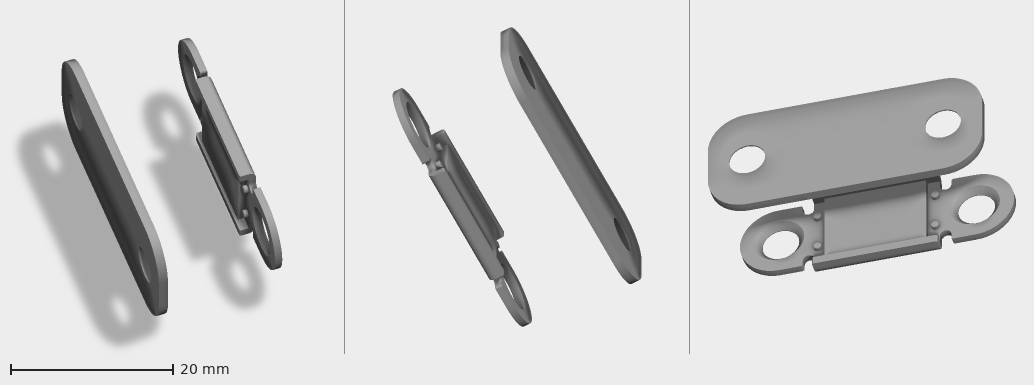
import cadquery as cq

LENGTH = 35.0
TOTAL_DEPTH = 16.2
CORNER_RADIUS = 5.0
HOLE_SPACING = LENGTH - 2 * CORNER_RADIUS

PLATE_HEIGHT = 15.0
PLATE_THICKNESS = 1.2
PLATE_HOLE_DIAMETER = 4.6
PLATE_HOLE_LAND = 0.2

SHEET_THICKNESS = 0.95
SHEET_FRONT = TOTAL_DEPTH - SHEET_THICKNESS
EAR_HEIGHT = 2 * CORNER_RADIUS
EAR_HOLE_DIAMETER = 4.7
EAR_HOLE_LAND = 0.1

FLANGE_LENGTH = 16.03
FLANGE_SPAN = 12.15
FLANGE_THICKNESS = 1.1
FLANGE_DEPTH = 2.15
BEND_RADIUS = 1.0
FLANGE_CORNER_RADIUS = 0.25

NOTCH_WIDTH = 1.47
NOTCH_DEPTH = 1.58
NOTCH_EDGE_RADIUS = 0.28

PAD_LENGTH = 13.0
PAD_HEIGHT = 9.5
PAD_THICKNESS = 0.88
STUD_DIAMETER = 1.0
STUD_HEIGHT = 0.55
STUD_EDGE_RADIUS = 0.1
STUD_SPACING_X = 15.0
STUD_SPACING_Z = 5.0


def block(length, height, front, depth):
    """Block centred on X and Z that runs from Y = front toward +Y."""
    return cq.Workplane("XY").box(length, depth, height).translate((0, front + depth / 2, 0))


def facing_front(y):
    """Workplane at the given Y, with local axes X and Z and a normal toward -Y."""
    return cq.Workplane("XZ", origin=(0, y, 0))


def make_countersunk_hole(side, narrow_y, direction, thickness, diameter, land_depth):
    """Cutter for a hole that has a short straight land at Y = narrow_y and then opens at 45 degrees."""
    radius = diameter / 2
    axis = cq.Vector(0, direction, 0)
    start = cq.Vector(side * HOLE_SPACING / 2, narrow_y, 0)
    cone_depth = thickness - land_depth
    land = cq.Solid.makeCylinder(radius, land_depth, start, axis)
    cone = cq.Solid.makeCone(radius, radius + cone_depth, cone_depth, start + axis * land_depth, axis)
    return cq.Workplane(land).union(cq.Workplane(cone))


def make_cover_plate():
    plate = block(LENGTH, PLATE_HEIGHT, 0, PLATE_THICKNESS).edges("|Y").fillet(CORNER_RADIUS)
    for side in (-1, 1):
        hole = make_countersunk_hole(
            side, 0, 1, PLATE_THICKNESS, PLATE_HOLE_DIAMETER, PLATE_HOLE_LAND
        )
        plate = plate.cut(hole)
    return plate


def make_sheet():
    """Flat sheet with round ends and a countersunk hole in each ear."""
    sheet = facing_front(TOTAL_DEPTH).slot2D(LENGTH, EAR_HEIGHT).extrude(SHEET_THICKNESS)
    for side in (-1, 1):
        hole = make_countersunk_hole(
            side, TOTAL_DEPTH, -1, SHEET_THICKNESS, EAR_HOLE_DIAMETER, EAR_HOLE_LAND
        )
        sheet = sheet.cut(hole)
    return sheet


def make_channel():
    """Bent middle of the bracket: a web with a flange at the top and bottom."""
    channel = block(FLANGE_LENGTH, FLANGE_SPAN, TOTAL_DEPTH - FLANGE_DEPTH, FLANGE_DEPTH)
    channel = channel.edges("|X and >Y").fillet(BEND_RADIUS)
    inside = block(
        FLANGE_LENGTH,
        FLANGE_SPAN - 2 * FLANGE_THICKNESS,
        TOTAL_DEPTH - FLANGE_DEPTH,
        FLANGE_DEPTH - SHEET_THICKNESS,
    )
    channel = channel.cut(inside)
    return channel.edges("|Z and <Y").fillet(FLANGE_CORNER_RADIUS)


def make_notches():
    """Round-bottomed relief notches where the ears meet the flanges."""
    center_x = (FLANGE_LENGTH + NOTCH_WIDTH) / 2
    length = 2 * NOTCH_DEPTH
    return (
        facing_front(TOTAL_DEPTH)
        .rarray(2 * center_x, EAR_HEIGHT, 2, 2)
        .slot2D(length, NOTCH_WIDTH, 90)
        .extrude(SHEET_THICKNESS)
    )


def round_notch_edges(body):
    """Round the four corners where the notches open onto the straight edges of the ears."""
    corner_x = FLANGE_LENGTH / 2 + NOTCH_WIDTH
    for side_x in (-1, 1):
        for side_z in (-1, 1):
            corner = (side_x * corner_x, TOTAL_DEPTH - SHEET_THICKNESS / 2, side_z * EAR_HEIGHT / 2)
            nearest = cq.selectors.NearestToPointSelector(corner)
            body = body.edges("|Y").edges(nearest).fillet(NOTCH_EDGE_RADIUS)
    return body


def make_bracket():
    pad = block(PAD_LENGTH, PAD_HEIGHT, SHEET_FRONT - PAD_THICKNESS, PAD_THICKNESS)
    studs = (
        facing_front(SHEET_FRONT)
        .rarray(STUD_SPACING_X, STUD_SPACING_Z, 2, 2)
        .circle(STUD_DIAMETER / 2)
        .extrude(STUD_HEIGHT)
        .faces("<Y")
        .edges()
        .fillet(STUD_EDGE_RADIUS)
    )
    body = make_sheet().union(make_channel()).cut(make_notches())
    return round_notch_edges(body).union(pad).union(studs)


cover_plate = make_cover_plate()
bracket = make_bracket()

result = cq.Compound.makeCompound([cover_plate.val(), *bracket.solids().vals()])